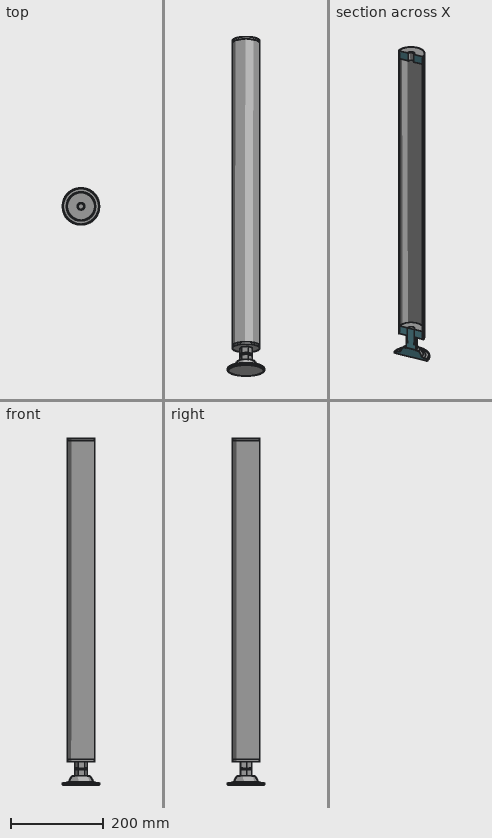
import cadquery as cq
import math

TOTAL_HEIGHT = 750.0

TUBE_DIAMETER = 60.0
TUBE_WALL = 3.0
CAP_THICKNESS = 5.0
CAP_PLUG_LENGTH = 15.0
CAP_DIAMETER = 59.0
TOP_BORE_DIAMETER = 13.0
TOP_BORE_MOUTH_DIAMETER = 16.0
LEG_BOTTOM = 51.0

SPINDLE_DIAMETER = 16.0
HEX_ACROSS_FLATS = 24.0
HEX_ROTATION = 5.0
NUT_BOTTOM = 37.5
SPINDLE_HEX_TOP = 34.0

FOOT_DIAMETER = 80.0
PLATE_HEIGHT = 6.0
PLATE_CHAMFER = 1.9
DOME_TOP = 20.0
DOME_TOP_RADIUS = 19.0
DOME_BASE_RADIUS = 26.0
DOME_BULGE = 1.0
FLARE_RADIUS = 31.5
FLARE_HEIGHT = 2.0

TUBE_INNER_RADIUS = TUBE_DIAMETER / 2 - TUBE_WALL
TUBE_BOTTOM = LEG_BOTTOM + CAP_THICKNESS
TUBE_LENGTH = TOTAL_HEIGHT - CAP_THICKNESS - TUBE_BOTTOM
HEX_ACROSS_CORNERS = HEX_ACROSS_FLATS / math.cos(math.pi / 6)
SPINDLE_TOP = TUBE_BOTTOM + CAP_PLUG_LENGTH


def cylinder(radius, bottom, height):
    return cq.Workplane("XY").workplane(offset=bottom).circle(radius).extrude(height)


def hexagon(bottom, top):
    """Hexagonal prism, turned slightly from having its flats face -Y and +Y."""
    prism = cq.Workplane("XY").workplane(offset=bottom).polygon(6, HEX_ACROSS_CORNERS).extrude(top - bottom)
    return prism.rotate((0, 0, 0), (0, 0, 1), HEX_ROTATION)


def make_tube():
    outer = cylinder(TUBE_DIAMETER / 2, TUBE_BOTTOM, TUBE_LENGTH)
    return outer.faces(">Z").workplane().hole(2 * TUBE_INNER_RADIUS)


def make_cap(bore_diameter):
    """End cap with its flange face at Z = 0, its plug pointing up and a through bore."""
    flange = cylinder(CAP_DIAMETER / 2, 0, CAP_THICKNESS)
    plug = cylinder(TUBE_INNER_RADIUS, CAP_THICKNESS, CAP_PLUG_LENGTH)
    return flange.union(plug).faces(">Z").workplane().hole(bore_diameter)


def make_top_cap():
    """Inverted cap with a chamfered mouth on its bore."""
    mouth_chamfer = (TOP_BORE_MOUTH_DIAMETER - TOP_BORE_DIAMETER) / 2
    cap = make_cap(TOP_BORE_DIAMETER)
    cap = cap.faces("<Z").edges(cq.selectors.RadiusNthSelector(0)).chamfer(mouth_chamfer)
    return cap.rotate((0, 0, 0), (1, 0, 0), 180).translate((0, 0, TOTAL_HEIGHT))


def make_nut():
    """Lock nut clamped against the lower cap."""
    return hexagon(NUT_BOTTOM, LEG_BOTTOM).faces(">Z").workplane().hole(SPINDLE_DIAMETER)


def make_spindle():
    """Adjusting spindle whose hexagon rests on the foot."""
    shank = cylinder(SPINDLE_DIAMETER / 2, SPINDLE_HEX_TOP, SPINDLE_TOP - SPINDLE_HEX_TOP)
    return hexagon(DOME_TOP, SPINDLE_HEX_TOP).union(shank)


def make_foot():
    """Revolved foot: chamfered base plate, flared transition and slightly bulging dome."""
    rim = FOOT_DIAMETER / 2
    flare_top = PLATE_HEIGHT + FLARE_HEIGHT
    dome_middle = (
        (DOME_BASE_RADIUS + DOME_TOP_RADIUS) / 2 + DOME_BULGE,
        (flare_top + DOME_TOP) / 2 + DOME_BULGE,
    )
    return (
        cq.Workplane("XZ")
        .lineTo(rim - PLATE_CHAMFER, 0)
        .lineTo(rim, PLATE_CHAMFER)
        .lineTo(rim, PLATE_HEIGHT - PLATE_CHAMFER)
        .lineTo(rim - PLATE_CHAMFER, PLATE_HEIGHT)
        .lineTo(FLARE_RADIUS, PLATE_HEIGHT)
        .lineTo(DOME_BASE_RADIUS, flare_top)
        .threePointArc(dome_middle, (DOME_TOP_RADIUS, DOME_TOP))
        .lineTo(0, DOME_TOP)
        .close()
        .revolve(360, (0, 0, 0), (0, 1, 0))
    )


tube = make_tube()
bottom_cap = make_cap(SPINDLE_DIAMETER).translate((0, 0, LEG_BOTTOM))
top_cap = make_top_cap()
nut = make_nut()
spindle = make_spindle()
foot = make_foot()

result = cq.Compound.makeCompound(
    [tube.val(), bottom_cap.val(), top_cap.val(), nut.val(), spindle.val(), foot.val()]
)